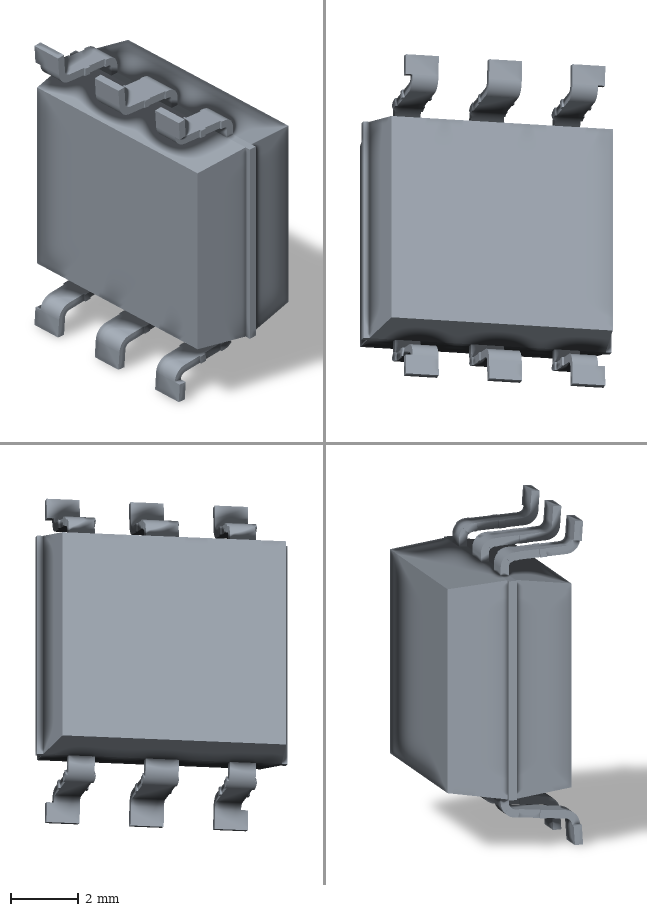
import cadquery as cq
import math

flange_width = 7.6
overall_height = 9.8
housing_depth = 3.8
waist_width = 7.24
waist_height = 6.62
face_inset = 0.23
thickness = 0.25

lead_pitch = 2.55
lead_reach = 2.35
stub_length = 0.25
inner_radius = 0.2
tilt = math.radians(4)
foot_width = 1.0
side_neck_width = 0.79
side_ear = 0.06
middle_ear = 0.035
first_ear_arm = 0.115
second_ear_start = 0.77
second_ear_length = 0.2

half_thickness = thickness / 2
bend_radius = inner_radius + half_thickness
cos_tilt = math.cos(tilt)
sin_tilt = math.sin(tilt)
up = math.pi / 2
stub_bottom = (0, waist_height / 2)
first_center = (bend_radius, waist_height / 2 + stub_length)

forward_left = (lead_reach - first_center[0] - half_thickness * cos_tilt
                - bend_radius * (cos_tilt - 2 * sin_tilt))
upward_left = (overall_height / 2 - first_center[1] - half_thickness * sin_tilt
               - bend_radius * (2 * cos_tilt - sin_tilt))
arm_length = (forward_left * cos_tilt - upward_left * sin_tilt) / math.cos(2 * tilt)
foot_length = (upward_left * cos_tilt - forward_left * sin_tilt) / math.cos(2 * tilt)


def polar(origin, angle, distance):
    """Point at a distance from the origin along an angle measured from forward towards up."""
    return (origin[0] + distance * math.cos(angle), origin[1] + distance * math.sin(angle))


arm_start = polar(first_center, up + tilt, bend_radius)
arm_end = polar(arm_start, tilt, arm_length)
second_center = polar(arm_end, up + tilt, bend_radius)
foot_start = polar(second_center, -tilt, bend_radius)


def side_point(point):
    """Turn (forward, up) into (Y, Z): forward is -Y."""
    return (-point[0], point[1])


def sheet_plane(x_range):
    return cq.Workplane("YZ").workplane(offset=x_range[0])


def straight_piece(start, heading, length, x_range):
    """Flat strip centred on a straight run of the centreline."""
    end = polar(start, heading, length)
    corners = [
        polar(start, heading + up, half_thickness),
        polar(end, heading + up, half_thickness),
        polar(end, heading - up, half_thickness),
        polar(start, heading - up, half_thickness),
    ]
    outline = sheet_plane(x_range).polyline([side_point(corner) for corner in corners]).close()
    return outline.extrude(x_range[1] - x_range[0])


def bend_piece(center, start_angle, end_angle, x_range):
    """Curved strip around a bend centre."""
    middle_angle = (start_angle + end_angle) / 2
    outer_radius = inner_radius + thickness
    return (
        sheet_plane(x_range)
        .moveTo(*side_point(polar(center, start_angle, inner_radius)))
        .threePointArc(
            side_point(polar(center, middle_angle, inner_radius)),
            side_point(polar(center, end_angle, inner_radius)),
        )
        .lineTo(*side_point(polar(center, end_angle, outer_radius)))
        .threePointArc(
            side_point(polar(center, middle_angle, outer_radius)),
            side_point(polar(center, start_angle, outer_radius)),
        )
        .close()
        .extrude(x_range[1] - x_range[0])
    )


def make_housing():
    housing = cq.Workplane("XY").box(flange_width, thickness, waist_height)
    block_depth = (housing_depth - thickness) / 2
    taper = math.degrees(math.atan(face_inset / block_depth))
    front_block = (
        cq.Workplane("XZ")
        .workplane(offset=half_thickness)
        .rect(waist_width, waist_height)
        .extrude(block_depth, taper=taper)
    )
    back_block = front_block.mirror("XZ")
    return housing.union(front_block).union(back_block)


def make_lead(neck_width, ear):
    foot_range = (-foot_width / 2, foot_width / 2)
    neck_range = (foot_range[1] - neck_width, foot_range[1])
    ear_range = (neck_range[0] - ear, neck_range[1] + ear)
    first_bend_middle = (math.pi + up + tilt) / 2
    second_ear = polar(arm_start, tilt, second_ear_start)

    lead = straight_piece(stub_bottom, up, stub_length, neck_range)
    lead = lead.union(bend_piece(first_center, math.pi, up + tilt, neck_range))
    lead = lead.union(straight_piece(arm_start, tilt, arm_length, neck_range))
    lead = lead.union(bend_piece(second_center, tilt - up, -tilt, neck_range))
    lead = lead.union(straight_piece(foot_start, up - tilt, foot_length, foot_range))

    lead = lead.union(bend_piece(first_center, first_bend_middle, up + tilt, ear_range))
    lead = lead.union(straight_piece(arm_start, tilt, first_ear_arm, ear_range))
    return lead.union(straight_piece(second_ear, tilt, second_ear_length, ear_range))


def make_lead_row():
    """The three upper leads; the right lead mirrors the left one."""
    middle_lead = make_lead(foot_width, middle_ear)
    left_lead = make_lead(side_neck_width, side_ear).translate((-lead_pitch, 0, 0))
    right_lead = left_lead.mirror("YZ")
    return [left_lead, middle_lead, right_lead]


housing = make_housing()
leads = []
for upper_lead in make_lead_row():
    lower_lead = upper_lead.mirror("XY")
    leads.append(upper_lead.val())
    leads.append(lower_lead.val())

result = cq.Compound.makeCompound([housing.val(), *leads])